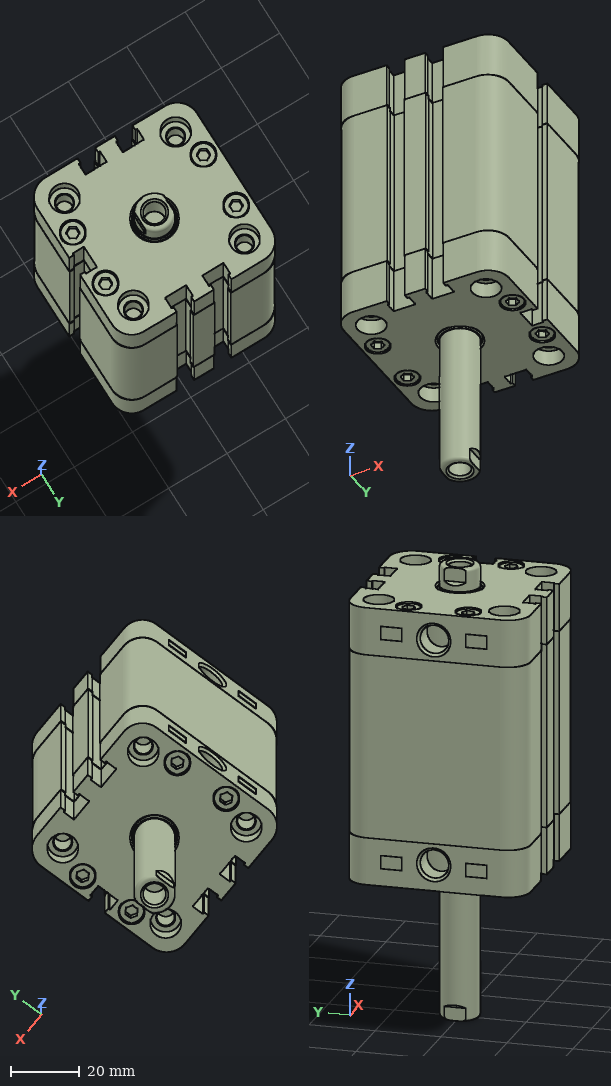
import cadquery as cq
import math


width = 54.8
total_length = 139.0
cap_height = 14.5
barrel_height = 56.2
upper_rod_exposed = 7.0
body_height = barrel_height + 2 * cap_height
lower_rod_exposed = total_length - body_height - upper_rod_exposed
cap_corner_radius = 6.8
barrel_corner_radius = 7.2

slot_offset = 6.4
slot_depth = 5.4
lip_thickness = 1.7
cap_slot_mouth = 6.0
cap_slot_width = 7.2
barrel_slot_mouth = 5.5
barrel_slot_width = 7.0

rod_diameter = 12.0
rod_end_radius = 1.0
flat_distance = 10.0
flat_length = 4.2
rod_thread_diameter = 6.7
rod_thread_depth = 11.1
rod_thread_chamfer = 0.7

groove_outer_diameter = 14.3
groove_root_diameter = 13.3
groove_lip_diameter = 12.5
groove_depth = 0.7

mount_spacing = 38.1
mount_bore_diameter = 9.0
mount_bore_depth = 5.0
mount_thread_diameter = 5.1
mount_thread_depth = 12.5
mount_chamfer = 0.3

screw_spacing_x = 44.8
screw_spacing_y = 18.1
screw_seat_diameter = 7.6
screw_head_diameter = 7.1
screw_head_recess = 0.4
screw_gap_depth = 1.0
socket_across_flats = 3.5
socket_turn = 30
socket_depth = 2.5

port_height = 8.0
port_diameter = 8.6
port_mouth_diameter = 10.3
port_chamfer_depth = 0.8
port_floor_diameter = 40.0
label_offset = 12.9
label_height = 7.4
label_size_y = 6.4
label_size_z = 4.0
label_depth = 0.1


def slot_cutter(mouth, inner_width, height):
    """T-shaped slot opening through the +Y side, centred on X = 0."""
    side = width / 2
    lip_face = side - lip_thickness
    floor = side - slot_depth
    neck = cq.Workplane("XY").box(mouth, slot_depth, height, centered=(True, False, False))
    pocket = cq.Workplane("XY").box(inner_width, lip_face - floor, height, centered=(True, False, False))
    return neck.union(pocket).translate((0, floor, 0))


def slotted_block(height, corner_radius, mouth, inner_width):
    """Square block with rounded corners and the five sensor slots."""
    block = cq.Workplane("XY").rect(width, width).extrude(height).edges("|Z").fillet(corner_radius)
    slot = slot_cutter(mouth, inner_width, height)
    for x in (-slot_offset, slot_offset):
        for turn in (0, 180):
            block = block.cut(slot.translate((x, 0, 0)).rotate((0, 0, 0), (0, 0, 1), turn))
    return block.cut(slot.rotate((0, 0, 0), (0, 0, 1), -90))


def make_barrel():
    barrel = slotted_block(barrel_height, barrel_corner_radius, barrel_slot_mouth, barrel_slot_width)
    return barrel.translate((0, 0, cap_height))


def cone_cutter(top_z, top_diameter, bottom_diameter, depth):
    """Cone frustum hanging down from top_z on the Z axis."""
    cone = cq.Solid.makeCone(bottom_diameter / 2, top_diameter / 2, depth)
    return cq.Workplane(cone).translate((0, 0, top_z - depth))


def cut_rod_passage(cap):
    cap = cap.faces(">Z").workplane(origin=(0, 0, 0)).hole(rod_diameter)
    outer_radius = groove_outer_diameter / 2
    root_radius = groove_root_diameter / 2
    lip_radius = groove_lip_diameter / 2
    groove = (
        cq.Workplane("XZ")
        .moveTo(outer_radius, cap_height)
        .lineTo(root_radius, cap_height - groove_depth)
        .lineTo(lip_radius, cap_height)
        .close()
        .revolve(360, (0, 0, 0), (0, 1, 0))
    )
    return cap.cut(groove)


def cut_mounting_holes(cap):
    top = cap.faces(">Z").workplane(origin=(0, 0, 0)).rect(mount_spacing, mount_spacing, forConstruction=True)
    cap = top.vertices().cboreHole(
        mount_thread_diameter, mount_bore_diameter, mount_bore_depth, mount_thread_depth
    )
    chamfer_top = mount_thread_diameter + 2 * mount_chamfer
    seat_z = cap_height - mount_bore_depth
    chamfer = cone_cutter(seat_z, chamfer_top, mount_thread_diameter, mount_chamfer)
    for x in (-mount_spacing / 2, mount_spacing / 2):
        for y in (-mount_spacing / 2, mount_spacing / 2):
            cap = cap.cut(chamfer.translate((x, y, 0)))
    return cap


def cut_screw_heads(cap):
    """Seat, ring gap and hexagon socket of each slightly sunken screw head."""
    seat = (
        cq.Workplane("XY", origin=(0, 0, cap_height - screw_head_recess))
        .circle(screw_seat_diameter / 2)
        .extrude(screw_head_recess)
    )
    gap = (
        cq.Workplane("XY", origin=(0, 0, cap_height - screw_gap_depth))
        .circle(screw_seat_diameter / 2)
        .circle(screw_head_diameter / 2)
        .extrude(screw_gap_depth)
    )
    socket = (
        cq.Workplane("XY", origin=(0, 0, cap_height - socket_depth))
        .polygon(6, socket_across_flats / math.cos(math.pi / 6))
        .extrude(socket_depth)
        .rotate((0, 0, 0), (0, 0, 1), socket_turn)
    )
    screw = seat.union(gap).union(socket)
    for x in (-screw_spacing_x / 2, screw_spacing_x / 2):
        for y in (-screw_spacing_y / 2, screw_spacing_y / 2):
            cap = cap.cut(screw.translate((x, y, 0)))
    return cap


def cut_port(cap):
    """Chamfered port on the -X side, ending on a cylinder around the rod axis."""
    port_z = cap_height - port_height
    mouth_radius = port_mouth_diameter / 2
    port_radius = port_diameter / 2
    axis_start = cq.Vector(-width / 2, 0, port_z)
    inward = cq.Vector(1, 0, 0)
    drill = cq.Workplane(cq.Solid.makeCylinder(port_radius, width / 2, axis_start, inward))
    mouth = cq.Solid.makeCone(mouth_radius, port_radius, port_chamfer_depth, axis_start, inward)
    drill = drill.union(cq.Workplane(mouth))
    core = cq.Workplane("XY").circle(port_floor_diameter / 2).extrude(cap_height)
    return cap.cut(drill.cut(core))


def cut_labels(cap):
    label = cq.Workplane("XY").box(label_depth, label_size_y, label_size_z)
    for y in (-label_offset, label_offset):
        cap = cap.cut(label.translate((-width / 2 + label_depth / 2, y, cap_height - label_height)))
    return cap


def make_cap():
    """End cap with its outer face up and its inner face at z = 0."""
    cap = slotted_block(cap_height, cap_corner_radius, cap_slot_mouth, cap_slot_width)
    cap = cut_rod_passage(cap)
    cap = cut_mounting_holes(cap)
    cap = cut_screw_heads(cap)
    cap = cut_port(cap)
    return cut_labels(cap)


def rod_end_cutter():
    """Two wrench flats with 45 degree run-outs and the threaded hole, for a rod end at z = 0."""
    flat_x = flat_distance / 2
    run_out = rod_diameter / 2 - flat_x
    clear_of_rod = 2 * run_out
    flat = (
        cq.Workplane("XZ")
        .moveTo(flat_x, 0)
        .lineTo(flat_x, -flat_length)
        .lineTo(flat_x + clear_of_rod, -flat_length - clear_of_rod)
        .lineTo(flat_x + clear_of_rod, 0)
        .close()
        .extrude(rod_diameter / 2, both=True)
    )
    bore = cq.Workplane("XY").circle(rod_thread_diameter / 2).extrude(-rod_thread_depth)
    bore_mouth = rod_thread_diameter + 2 * rod_thread_chamfer
    bore = bore.union(cone_cutter(0, bore_mouth, rod_thread_diameter, rod_thread_chamfer))
    return flat.union(flat.mirror("YZ")).union(bore)


def make_rod(exposed_length):
    """Rod standing on z = 0, through a cap and exposed_length beyond it."""
    length = cap_height + exposed_length
    rod = cq.Workplane("XY").circle(rod_diameter / 2).extrude(length)
    rod = rod.faces(">Z").edges().fillet(rod_end_radius)
    return rod.cut(rod_end_cutter().translate((0, 0, length)))


barrel = make_barrel()
end_parts = []
for exposed_length, upper in ((upper_rod_exposed, True), (lower_rod_exposed, False)):
    for part in (make_cap(), make_rod(exposed_length)):
        if upper:
            placed = part.translate((0, 0, cap_height + barrel_height))
        else:
            placed = part.mirror("XY").translate((0, 0, cap_height))
        end_parts.append(placed.val())

result = cq.Compound.makeCompound([barrel.val(), *end_parts])